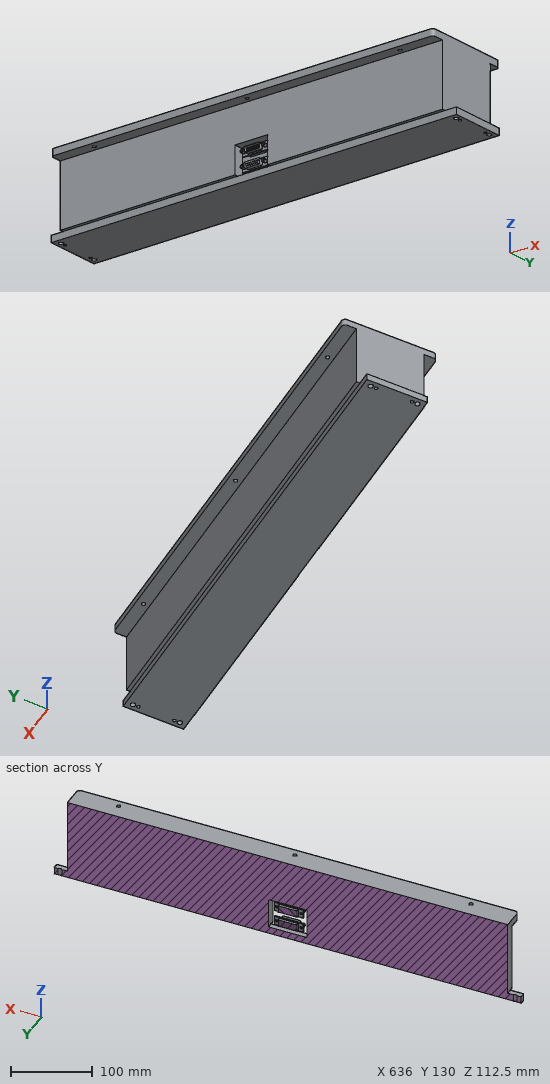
import cadquery as cq
import math

TOTAL_HEIGHT = 112.5
FLANGE_LENGTH = 600.0
FLANGE_WIDTH = 130.0
FLANGE_THICKNESS = 10.0
FLANGE_CORNER_RADIUS = 5.0
BODY_WIDTH = 94.0
BASE_LENGTH = 636.0
BASE_WIDTH = 84.0
BASE_THICKNESS = 10.0
BODY_HEIGHT = TOTAL_HEIGHT - FLANGE_THICKNESS - BASE_THICKNESS

FLANGE_HOLE_DIAMETER = 4.92
FLANGE_HOLE_PITCH_X = 240.0
FLANGE_HOLE_SPACING_Y = 110.0
FLANGE_HOLE_COLUMNS = 3
FLANGE_HOLE_ROWS = 2

BASE_HOLE_EDGE_DISTANCE = 8.0
LARGE_HOLE_SPACING_Y = 65.0
LARGE_HOLE_DIAMETER = 6.5
SMALL_HOLE_DIAMETER = 4.13
BASE_HOLE_PITCH = 7.5

FRONT_Y = -BODY_WIDTH / 2
RECESS_LENGTH = 51.5
RECESS_HEIGHT = 40.0
RECESS_DEPTH = 15.0
RECESS_FLOOR_Y = FRONT_Y + RECESS_DEPTH
RECESS_CENTRE_Z = BASE_THICKNESS + RECESS_HEIGHT / 2

CONNECTOR_PITCH_Z = 21.0
PLATE_LENGTH = 39.1
PLATE_HEIGHT = 12.0
PLATE_THICKNESS = 2.0
REAR_LENGTH = 26.0
REAR_HEIGHT = 10.0
REAR_DEPTH = 6.0
PLATE_FRONT_Y = RECESS_FLOOR_Y - REAR_DEPTH - PLATE_THICKNESS
SCREW_HOLE_DIAMETER = 3.05
SCREW_HOLE_SPACING = 33.3
SCREW_BOSS_DIAMETER = 4.92
SCREW_BOSS_LENGTH = 5.0
SHELL_LENGTH = 26.0
SHELL_HEIGHT = 8.4
SHELL_PROTRUSION = 6.0
SHELL_SIDE_ANGLE = 10.0
SHELL_CORNER_RADIUS = 2.0
SHELL_WALL = 0.6
CONTACT_PITCH = 2.77
CONTACT_ROW_SPACING = 2.84
UPPER_ROW_COUNT = 8
LOWER_ROW_COUNT = 7
PIN_DIAMETER = 1.02
PIN_LENGTH = 5.0
SOCKET_DIAMETER = 0.99
SOCKET_DEPTH = 5.0


def box_on(length, width, height, bottom_z):
    """A block centred on X and Y that stands on the given height."""
    return cq.Workplane("XY", origin=(0, 0, bottom_z)).rect(length, width).extrude(height)


def front_plane(y, z):
    """A sketch plane facing -Y, with local X along +X and local Y along +Z."""
    return cq.Workplane(cq.Plane(origin=(0, y, z), xDir=(1, 0, 0), normal=(0, -1, 0)))


def base_hole_pair(end, side):
    """The cutter for one large hole with a small hole beside it, nearer the middle of the base."""
    x = end * (BASE_LENGTH / 2 - BASE_HOLE_EDGE_DISTANCE)
    large_y = side * LARGE_HOLE_SPACING_Y / 2
    return (
        cq.Workplane("XY")
        .pushPoints([(x, large_y)])
        .circle(LARGE_HOLE_DIAMETER / 2)
        .pushPoints([(x, large_y - side * BASE_HOLE_PITCH)])
        .circle(SMALL_HOLE_DIAMETER / 2)
        .extrude(BASE_THICKNESS)
    )


def make_housing():
    """The base, body and top flange in one piece, with the connector recess."""
    base = box_on(BASE_LENGTH, BASE_WIDTH, BASE_THICKNESS, 0)
    for end in (-1, 1):
        for side in (-1, 1):
            base = base.cut(base_hole_pair(end, side))

    body = box_on(FLANGE_LENGTH, BODY_WIDTH, BODY_HEIGHT, BASE_THICKNESS)
    recess_floor = front_plane(RECESS_FLOOR_Y, RECESS_CENTRE_Z)
    recess = recess_floor.rect(RECESS_LENGTH, RECESS_HEIGHT).extrude(RECESS_DEPTH)

    flange = box_on(FLANGE_LENGTH, FLANGE_WIDTH, FLANGE_THICKNESS, TOTAL_HEIGHT - FLANGE_THICKNESS)
    flange = flange.edges("|Z").fillet(FLANGE_CORNER_RADIUS)
    flange = (
        flange.faces(">Z")
        .workplane()
        .rarray(FLANGE_HOLE_PITCH_X, FLANGE_HOLE_SPACING_Y, FLANGE_HOLE_COLUMNS, FLANGE_HOLE_ROWS)
        .hole(FLANGE_HOLE_DIAMETER)
    )
    return base.union(body).union(flange).cut(recess)


def d_prism(plane, inset, depth):
    """A rounded D-shaped prism, wider at the top, shrunk all round by the inset."""
    half_height = SHELL_HEIGHT / 2
    lean = half_height * math.tan(math.radians(SHELL_SIDE_ANGLE))
    half_top = SHELL_LENGTH / 2
    half_bottom = half_top - 2 * lean
    return (
        plane.polyline([
            (-half_top, half_height),
            (half_top, half_height),
            (half_bottom, -half_height),
            (-half_bottom, -half_height),
        ])
        .close()
        .offset2D(-SHELL_CORNER_RADIUS)
        .offset2D(SHELL_CORNER_RADIUS - inset)
        .extrude(depth)
    )


def contact_points():
    """The contact positions: two staggered rows about the connector's centre."""
    points = []
    for count, side in ((UPPER_ROW_COUNT, 1), (LOWER_ROW_COUNT, -1)):
        for i in range(count):
            points.append(((i - (count - 1) / 2) * CONTACT_PITCH, side * CONTACT_ROW_SPACING / 2))
    return points


def make_plate(z):
    """The mounting plate, with its rear block on the recess floor and a screw boss at each end."""
    rear_block = front_plane(RECESS_FLOOR_Y, z).rect(REAR_LENGTH, REAR_HEIGHT).extrude(REAR_DEPTH)
    plate = front_plane(PLATE_FRONT_Y, z).rect(PLATE_LENGTH, PLATE_HEIGHT).extrude(-PLATE_THICKNESS)
    screw_sites = front_plane(PLATE_FRONT_Y, z).rarray(SCREW_HOLE_SPACING, 1, 2, 1)
    bosses = screw_sites.circle(SCREW_BOSS_DIAMETER / 2).extrude(SCREW_BOSS_LENGTH)
    connector_front = front_plane(PLATE_FRONT_Y - SCREW_BOSS_LENGTH, z)
    screw_holes = (
        connector_front.rarray(SCREW_HOLE_SPACING, 1, 2, 1)
        .circle(SCREW_HOLE_DIAMETER / 2)
        .extrude(-SCREW_BOSS_LENGTH - PLATE_THICKNESS)
    )
    return rear_block.union(plate).union(bosses).cut(screw_holes)


def make_plug(z):
    """The connector with pins inside an open shell."""
    shell = d_prism(front_plane(PLATE_FRONT_Y, z), 0, SHELL_PROTRUSION)
    cavity = d_prism(front_plane(PLATE_FRONT_Y, z), SHELL_WALL, SHELL_PROTRUSION)
    pins = (
        front_plane(PLATE_FRONT_Y, z)
        .pushPoints(contact_points())
        .circle(PIN_DIAMETER / 2)
        .extrude(PIN_LENGTH)
    )
    return make_plate(z).union(shell.cut(cavity)).union(pins)


def make_socket(z):
    """The connector with contact holes in a solid D-shaped insert."""
    insert = d_prism(front_plane(PLATE_FRONT_Y, z), 0, SHELL_PROTRUSION)
    holes = (
        front_plane(PLATE_FRONT_Y - SHELL_PROTRUSION, z)
        .pushPoints(contact_points())
        .circle(SOCKET_DIAMETER / 2)
        .extrude(-SOCKET_DEPTH)
    )
    return make_plate(z).union(insert).cut(holes)


housing = make_housing()
plug = make_plug(RECESS_CENTRE_Z + CONNECTOR_PITCH_Z / 2)
socket = make_socket(RECESS_CENTRE_Z - CONNECTOR_PITCH_Z / 2)

result = cq.Compound.makeCompound([housing.val(), plug.val(), socket.val()])